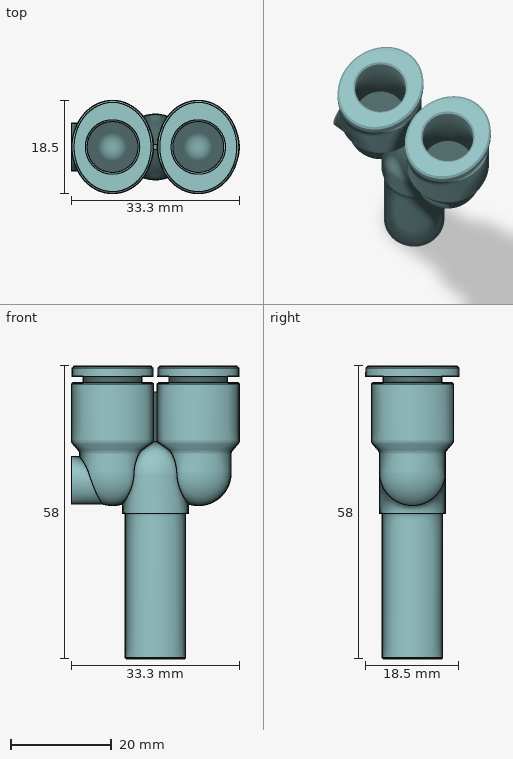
import cadquery as cq

height = 58.0
socket_pitch = 17.0
socket_diameter = 16.3
socket_half_pitch = socket_pitch / 2

stem_diameter = 12.0
stem_chamfer = 0.25
post_diameter = 13.05
post_bottom = 28.8
post_dome_center = 36.55

socket_top = 54.75
socket_rim_chamfer = 0.3
shoulder_top = 42.9
shoulder_bottom = 41.05
shoulder_blend = 1.0
elbow_diameter = post_diameter
elbow_ball_center = 36.9

collar_x_size = 16.05
collar_y_size = 18.5
collar_thickness = 2.05
collar_chamfer = 0.4
neck_diameter = 11.65
bore_diameter = 10.1
bore_chamfer = 0.35
bore_depth = height - shoulder_top

web_thickness = 1.0
web_top = 52.9
plug_diameter = 9.45
plug_center_height = 35.4


def cylinder(diameter, bottom, top):
    """Upright cylinder on the Z axis between two heights."""
    return cq.Workplane("XY").workplane(offset=bottom).circle(diameter / 2).extrude(top - bottom)


def ball(diameter, center_height):
    return cq.Workplane("XY").sphere(diameter / 2).translate((0, 0, center_height))


def make_socket():
    """Socket body on the Z axis, turned from its half profile."""
    socket_radius = socket_diameter / 2
    elbow_radius = elbow_diameter / 2
    body = (
        cq.Workplane("XZ")
        .moveTo(0, elbow_ball_center)
        .lineTo(elbow_radius, elbow_ball_center)
        .lineTo(elbow_radius, shoulder_bottom)
        .lineTo(socket_radius, shoulder_top)
        .lineTo(socket_radius, socket_top)
        .lineTo(0, socket_top)
        .close()
        .revolve(360, (0, 0, 0), (0, 1, 0))
    )
    margin = shoulder_blend / 2
    shoulder_edges = cq.selectors.BoxSelector(
        (-socket_diameter, -socket_diameter, shoulder_bottom - margin),
        (socket_diameter, socket_diameter, shoulder_top + margin),
    )
    body = body.edges(shoulder_edges).edges("%CIRCLE").fillet(shoulder_blend)
    body = body.faces(">Z").edges().chamfer(socket_rim_chamfer)
    return body.union(ball(elbow_diameter, elbow_ball_center))


def make_collar():
    """Neck rising from the socket with the chamfered oval collar on top."""
    collar_bottom = height - collar_thickness
    collar = (
        cq.Workplane("XY")
        .workplane(offset=collar_bottom)
        .ellipse(collar_x_size / 2, collar_y_size / 2)
        .extrude(collar_thickness)
        .faces(">Z")
        .chamfer(collar_chamfer)
    )
    return cylinder(neck_diameter, socket_top, collar_bottom).union(collar)


def make_bore():
    """Blind tube hole with its entry chamfer, as a cutting solid."""
    bore_radius = bore_diameter / 2
    return (
        cq.Workplane("XZ")
        .moveTo(0, height - bore_depth)
        .lineTo(bore_radius, height - bore_depth)
        .lineTo(bore_radius, height - bore_chamfer)
        .lineTo(bore_radius + bore_chamfer, height)
        .lineTo(0, height)
        .close()
        .revolve(360, (0, 0, 0), (0, 1, 0))
    )


def make_stem_and_post():
    stem = cylinder(stem_diameter, 0, post_bottom).faces("<Z").chamfer(stem_chamfer)
    post = cylinder(post_diameter, post_bottom, post_dome_center)
    return stem.union(post).union(ball(post_diameter, post_dome_center))


def make_web():
    return (
        cq.Workplane("XY")
        .workplane(offset=post_dome_center)
        .rect(socket_pitch, web_thickness)
        .extrude(web_top - post_dome_center)
    )


def make_plug():
    """Solid plug from the left socket axis out to the side of the part."""
    return (
        cq.Workplane("YZ")
        .workplane(offset=-socket_half_pitch - socket_diameter / 2)
        .center(0, plug_center_height)
        .circle(plug_diameter / 2)
        .extrude(socket_diameter / 2)
    )


result = make_stem_and_post().union(make_web()).union(make_plug())
socket = make_socket().union(make_collar())
bore = make_bore()
for x in (-socket_half_pitch, socket_half_pitch):
    result = result.union(socket.translate((x, 0, 0)))
for x in (-socket_half_pitch, socket_half_pitch):
    result = result.cut(bore.translate((x, 0, 0)))